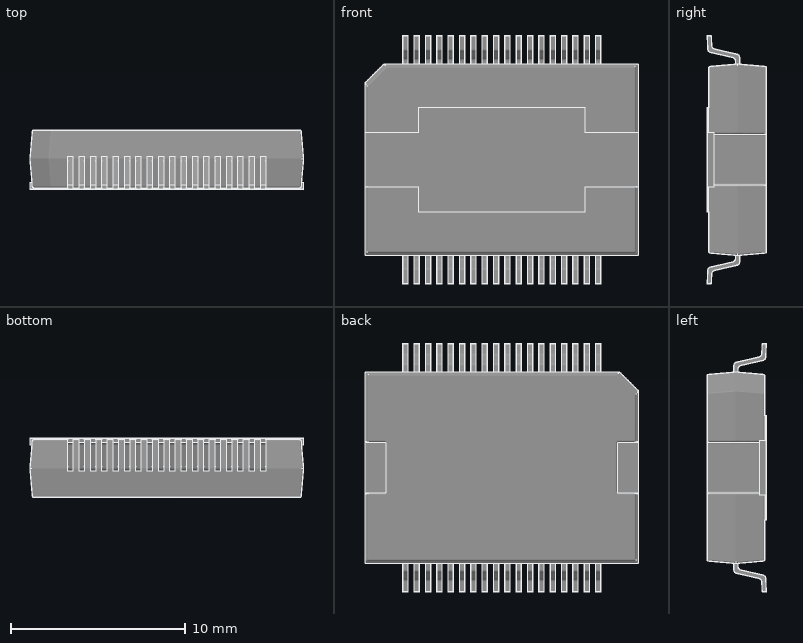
import cadquery as cq
import math

body_length = 15.7
body_height = 10.99
body_thickness = 3.31
corner_cut = 1.1
draft_angle = 5.0
edge_radius = 0.1

slug_length = 9.55
slug_height = 5.97
tab_height = 3.12
slug_protrusion = 0.1
slug_thickness = 0.41

notch_depth = 1.22
notch_clearance = 0.02
notch_height = tab_height - 2 * edge_radius - notch_clearance

lead_count = 18
lead_row_length = 11.05
lead_width = 0.31
lead_thickness = 0.25
lead_span = 14.24
lead_bend_radius = 0.2
lead_root_depth = 0.47
shoulder_z = 5.92
arm_reach = 1.59
arm_angle = 13.0
foot_angle = 2.7

lead_pitch = lead_row_length / (lead_count - 1)
half_length = body_length / 2
half_height = body_height / 2
half_thickness = body_thickness / 2
slug_front_y = -half_thickness - slug_protrusion


def body_outline(inset):
    """Corners of the body outline, moved inward by inset, with a constant corner cut."""
    right = half_length - inset
    top = half_height - inset
    return [
        (-right, -top),
        (right, -top),
        (right, top),
        (corner_cut - right, top),
        (-right, top - corner_cut),
    ]


def make_body_half():
    """Half of the body on the -Y side, with end notches and rounded edges."""
    draft_inset = half_thickness * math.tan(math.radians(draft_angle))
    half = (
        cq.Workplane("XZ")
        .polyline(body_outline(0))
        .close()
        .workplane(offset=half_thickness)
        .polyline(body_outline(draft_inset))
        .close()
        .loft(ruled=True)
    )
    notches = (
        cq.Workplane("XY")
        .pushPoints([(-half_length, 0), (half_length, 0)])
        .box(2 * notch_depth, body_thickness, notch_height)
    )
    half = half.cut(notches)
    parting_edges = half.faces(">Y").edges()
    rounded_edges = half.edges().newObject(
        [e for e in half.edges().vals() if not any(e.isSame(p) for p in parting_edges.vals())]
    )
    return rounded_edges.fillet(edge_radius)


def make_slug():
    """Cross-shaped heat slug standing slightly proud of the body."""
    center_y = slug_front_y + slug_thickness / 2
    pad = cq.Workplane("XY").box(slug_length, slug_thickness, slug_height)
    tabs = cq.Workplane("XY").box(body_length, slug_thickness, tab_height)
    return pad.union(tabs).translate((0, center_y, 0))


def make_lead():
    """One gull-wing lead on the +Z side, centered on x = 0."""
    half_lead = lead_thickness / 2
    arm = math.radians(arm_angle)
    foot = math.radians(foot_angle)
    tip_z = lead_span / 2 - half_lead * math.sin(foot)
    bend_z = shoulder_z + arm_reach * math.tan(arm)
    foot_length = (tip_z - bend_z) / math.cos(foot)

    shoulder_rise = half_lead * math.tan((math.pi / 2 - arm) / 2)
    knee_turn = math.pi / 2 - arm - foot
    miter_length = half_lead / math.cos(knee_turn / 2)
    miter_angle = foot + knee_turn / 2
    knee_dy = miter_length * math.cos(miter_angle)
    knee_dz = miter_length * math.sin(miter_angle)

    knee = (-arm_reach, bend_z)
    tip = (knee[0] - foot_length * math.sin(foot), tip_z)
    tip_dy = half_lead * math.cos(foot)
    tip_dz = half_lead * math.sin(foot)
    root_z = half_height - lead_root_depth

    profile = [
        (half_lead, root_z),
        (half_lead, shoulder_z + shoulder_rise),
        (knee[0] + knee_dy, knee[1] + knee_dz),
        (tip[0] + tip_dy, tip[1] - tip_dz),
        (tip[0] - tip_dy, tip[1] + tip_dz),
        (knee[0] - knee_dy, knee[1] - knee_dz),
        (-half_lead, shoulder_z - shoulder_rise),
        (-half_lead, root_z),
    ]
    lead = cq.Workplane("YZ").polyline(profile).close().extrude(lead_width / 2, both=True)
    bend_zone = cq.selectors.BoxSelector(
        (-lead_width, -2 * arm_reach, half_height),
        (lead_width, arm_reach, (knee[1] + tip_z) / 2),
    )
    return lead.edges("|X").edges(bend_zone).fillet(lead_bend_radius)


body_half = make_body_half()
result = body_half.union(body_half.mirror("XZ")).union(make_slug())

upper_lead = make_lead()
lower_lead = upper_lead.mirror("XY")
for index in range(lead_count):
    lead_x = (index - (lead_count - 1) / 2) * lead_pitch
    for lead in (upper_lead, lower_lead):
        result = result.union(lead.translate((lead_x, 0, 0)))